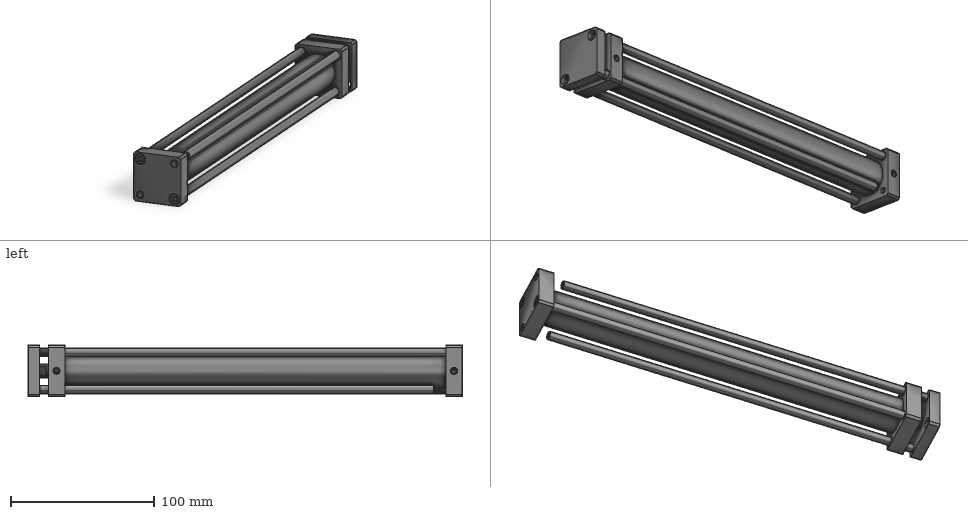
import cadquery as cq
import math

plate_size = 36.0
corner_chamfer = 1.5
end_thickness = 11.5
head_thickness = 11.5
flange_thickness = 8.0
overall_length = 303.0
flange_gap = 6.0

end_front = 0.0
end_back = end_front + end_thickness
flange_back = overall_length
flange_front = flange_back - flange_thickness
head_back = flange_front - flange_gap
head_front = head_back - head_thickness

corner_offset = 13.0
tie_corners = [(-corner_offset, corner_offset), (corner_offset, -corner_offset)]
guide_corners = [(corner_offset, corner_offset), (-corner_offset, -corner_offset)]

seat_chamfer = 0.2

tube_diameter = 25.4

rod_diameter = 10.0
rod_tip_length = 1.2
rod_tip_step = 0.2
flat_width = 8.0
flat_length = 4.5

guide_diameter = 6.0
guide_end_chamfer = 0.7
guide_end_gap = 8.0
guide_clearance_diameter = 7.5
guide_front = end_back + guide_end_gap

tie_diameter = 6.0
tie_shank_diameter = 5.0
tie_head_diameter = 7.0
tie_head_height = 5.0
counterbore_diameter = 8.0
counterbore_depth = 5.5
socket_width = 4.0
socket_depth = 2.5
drill_tip_height = 1.2

mount_hole_diameter = 4.13
mount_hole_mouth = 5.5
flange_hole_diameter = 7.5
port_diameter = 4.13
end_port_depth = 8.0
end_port_mouth = 5.0
head_port_mouth = 4.7


def axis_plane(x, y, z):
    """Work plane at a point, facing +Y."""
    return cq.Plane(origin=(x, y, z), xDir=(1, 0, 0), normal=(0, 1, 0))


def cylinder(diameter, y_start, y_end, x=0.0, z=0.0):
    """Solid cylinder along Y between two Y positions."""
    return cq.Workplane(axis_plane(x, y_start, z)).circle(diameter / 2).extrude(y_end - y_start)


def plate(y_start, y_end):
    """Square plate with chamfered corners."""
    return (
        cq.Workplane("XY")
        .box(plate_size, y_end - y_start, plate_size)
        .edges("|Y")
        .chamfer(corner_chamfer)
        .translate((0, (y_start + y_end) / 2, 0))
    )


def countersunk_hole(plane, diameter, mouth, depth):
    """Hole cutter along the plane normal, with a 45 degree countersink at its mouth."""
    hole = cq.Workplane(plane).circle(diameter / 2).extrude(depth)
    sink_depth = (mouth - diameter) / 2
    sink = cq.Solid.makeCone(mouth / 2, diameter / 2, sink_depth, plane.origin, plane.zDir)
    return hole.union(cq.Workplane(sink))


def drill_tip(plane, diameter):
    """Conical bottom of a drilled hole, pointing along the plane normal."""
    return cq.Workplane(cq.Solid.makeCone(diameter / 2, 0, drill_tip_height, plane.origin, plane.zDir))


def side_plane(x, y):
    """Work plane on the port axis, facing +X."""
    return cq.Plane(origin=(x, y, 0), xDir=(0, 1, 0), normal=(1, 0, 0))


def make_tie_rod(x, z):
    """Rod between the plates, with a thinner shank and a hex socket head inside the end plate."""
    head_back_y = end_front + counterbore_depth
    head_front_y = head_back_y - tie_head_height
    body = cylinder(tie_diameter, end_back, head_front, x, z).faces(">Y").chamfer(seat_chamfer)
    shank = cylinder(tie_shank_diameter, head_back_y, end_back, x, z)
    head = cylinder(tie_head_diameter, head_front_y, head_back_y, x, z)
    socket = (
        cq.Workplane(axis_plane(x, head_front_y, z))
        .polygon(6, socket_width / math.cos(math.pi / 6))
        .extrude(socket_depth)
    )
    tip = drill_tip(axis_plane(x, head_front_y + socket_depth, z), socket_width)
    return body.union(shank).union(head).cut(socket).cut(tip)


def make_guide_rod(x, z):
    rod = cylinder(guide_diameter, guide_front, flange_front, x, z)
    rod = rod.faces("<Y").chamfer(guide_end_chamfer)
    return rod.faces(">Y").chamfer(seat_chamfer)


def make_end_plate():
    body = plate(end_front, end_back)
    counterbore_bottom = end_front + counterbore_depth
    for x, z in tie_corners:
        body = body.cut(cylinder(tie_shank_diameter, end_front, end_back, x, z))
        body = body.cut(cylinder(counterbore_diameter, end_front, counterbore_bottom, x, z))
    for x, z in guide_corners:
        mouth_plane = axis_plane(x, end_front, z)
        body = body.cut(countersunk_hole(mouth_plane, mount_hole_diameter, mount_hole_mouth, end_thickness))
    port_y = (end_front + end_back) / 2
    port_plane = side_plane(-plate_size / 2, port_y)
    port = countersunk_hole(port_plane, port_diameter, end_port_mouth, end_port_depth)
    tip = drill_tip(side_plane(-plate_size / 2 + end_port_depth, port_y), port_diameter)
    return body.cut(port).cut(tip)


def make_head_plate():
    body = plate(head_front, head_back)
    for x, z in guide_corners:
        body = body.cut(cylinder(guide_clearance_diameter, head_front, head_back, x, z))
    body = body.cut(cylinder(rod_diameter, head_front, head_back))
    port_y = (head_front + head_back) / 2
    port_plane = side_plane(-plate_size / 2, port_y)
    port = countersunk_hole(port_plane, port_diameter, head_port_mouth, plate_size / 2)
    return body.cut(port)


def make_flange():
    body = plate(flange_front, flange_back)
    for x, z in tie_corners:
        body = body.cut(cylinder(flange_hole_diameter, flange_front, flange_back, x, z))
    return body


def make_tube():
    return cylinder(tube_diameter, end_back, head_front).faces(">Y").chamfer(seat_chamfer)


def make_piston_rod():
    straight = cylinder(rod_diameter, head_front, flange_front - rod_tip_length)
    tip = cq.Solid.makeCone(
        rod_diameter / 2,
        rod_diameter / 2 - rod_tip_step,
        rod_tip_length,
        cq.Vector(0, flange_front - rod_tip_length, 0),
        cq.Vector(0, 1, 0),
    )
    body = straight.union(cq.Workplane(tip))
    for side in (-1, 1):
        flat = cq.Workplane("XY").box(rod_diameter, flat_length, rod_diameter)
        flat = flat.translate((side * (flat_width + rod_diameter) / 2, flange_front - flat_length / 2, 0))
        body = body.cut(flat)
    return body


end_plate = make_end_plate()
head_plate = make_head_plate()
flange = make_flange()
tube = make_tube()
piston_rod = make_piston_rod()
tie_rods = [make_tie_rod(x, z) for x, z in tie_corners]
guide_rods = [make_guide_rod(x, z) for x, z in guide_corners]

bodies = [end_plate, head_plate, flange, tube, piston_rod, *tie_rods, *guide_rods]
result = cq.Compound.makeCompound([body.val() for body in bodies])